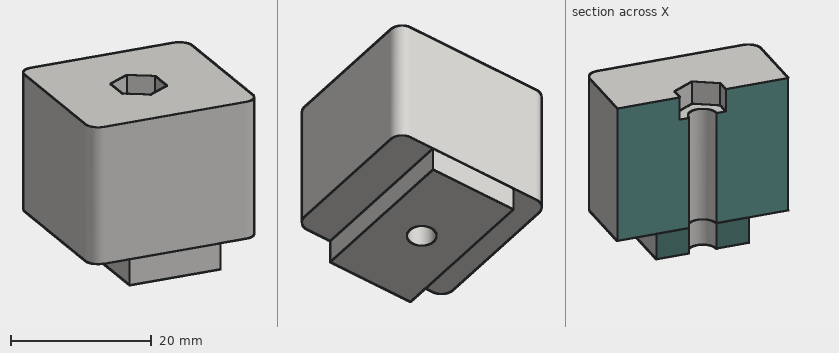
import cadquery as cq
import math

width = 24.5
length = 26.2
total_height = 25.0
block_height = 20.99
corner_radius = 2.0
tongue_height = total_height - block_height
tongue_width = 14.2

hole_diameter = 4.2
nut_across_flats = 7.0
nut_across_corners = nut_across_flats / math.cos(math.pi / 6)
nut_depth = 3.5


def make_block():
    """Rounded block with a nut pocket in its top and a bolt hole through it."""
    body = (
        cq.Workplane("XY")
        .rect(width, length)
        .extrude(block_height)
        .edges("|Z")
        .fillet(corner_radius)
    )
    body = body.faces(">Z").workplane().polygon(6, nut_across_corners).cutBlind(-nut_depth)
    bolt_hole = cq.Workplane("XY").circle(hole_diameter / 2).extrude(block_height)
    return body.cut(bolt_hole)


def make_tongue():
    """Square-cornered bar under the block, with the bolt hole continued through it."""
    return (
        cq.Workplane("XY")
        .rect(width, tongue_width)
        .circle(hole_diameter / 2)
        .extrude(-tongue_height)
    )


block = make_block()
tongue = make_tongue()

result = cq.Compound.makeCompound([block.val(), tongue.val()])